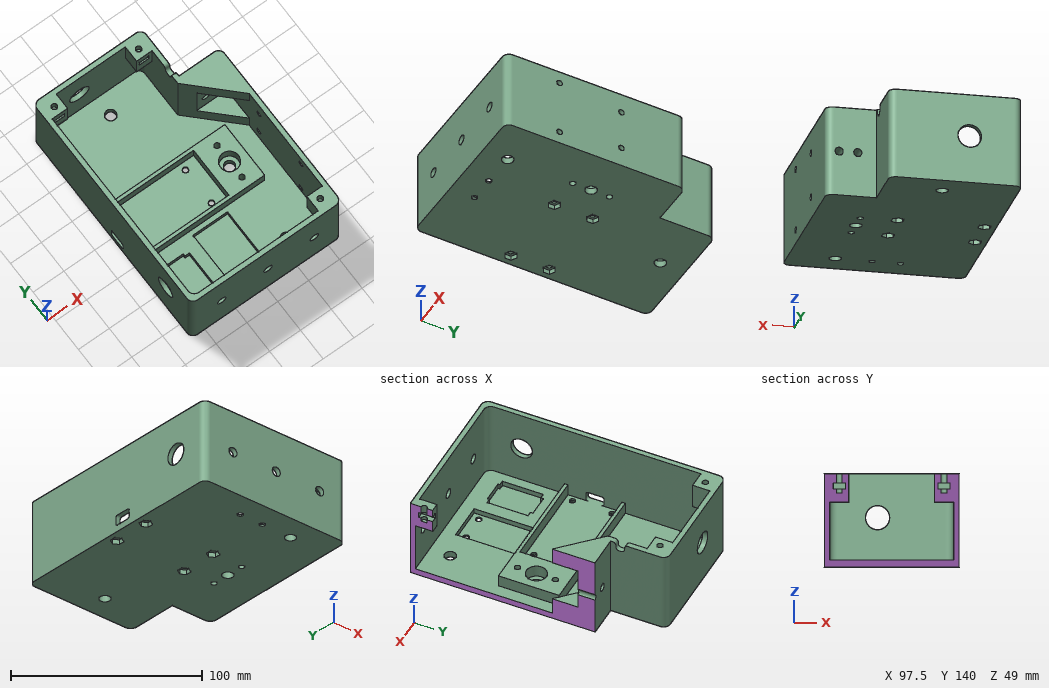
import cadquery as cq
import math

LENGTH_X = 97.5
LENGTH_Y = 140.0
HEIGHT = 49.0
WALL = 3.0
FLOOR = 4.0
CORNER_RADIUS = 4.0
NOTCH_X = 70.75
NOTCH_Y = 107.25
MID_HEIGHT = HEIGHT / 2

SCREW_DIAMETER = 3.3
FLOOR_HOLE_DIAMETER = 6.5

INNER_X = LENGTH_X - WALL
INNER_Y = LENGTH_Y - WALL
INNER_NOTCH_X = NOTCH_X - WALL
INNER_NOTCH_Y = NOTCH_Y - WALL
DIAGONAL_END_Y = INNER_NOTCH_Y - (INNER_X - INNER_NOTCH_X)

POST_SIZE = 10.0
POST_HEIGHT = 15.0
POST_HOLE_DEPTH = 10.0
NUT_SLOT_WIDTH = 6.2
NUT_SLOT_HEIGHT = 3.0
NUT_SLOT_DEPTH = 8.0
NUT_SLOT_Z = 42.6

BLOCK_POCKET_X = 75.0
BLOCK_POCKET_DEPTH = 10.0
BLOCK_POCKET_BOTTOM = 14.0
BLOCK_POCKET_TOP = 39.0
BLOCK_HOLE_DIAMETER = 4.3
BLOCK_HOLE_XS = (80.75, 90.75)

PAD_END_X = 82.75
PAD_Y = 65.5
PAD_WIDTH = 35.25
PAD_TOP = 11.0
PAD_POCKET_END_X = 61.0
PAD_POCKET_WIDTH = 31.25
PAD_POCKET_HOLE_XS = (6.25, 52.75)
PAD_POCKET_HOLE_PITCH = 23.0
NUT_TRAP_WIDTH = 6.2
NUT_TRAP_DEPTH = 2.8
PLUG_X = 72.5
PLUG_Y = 65.0
PLUG_SCREW_PITCH = 22.0
COUNTERBORE_DIAMETER = 11.5

RECESS_DEPTH = 3.0
BOARD_RECESS = (34.1, 10.4, 56.5, 45.0)
BOARD_HOLE_XS = (37.5, 52.75)
BOARD_HOLE_Y = 14.7
SWITCH_RECESS = (8.4, 14.4, 26.8, 38.1)
SWITCH_TAB = (11.4, 13.3, 23.9, 39.6)

FLOOR_HOLES = ((39.5, 125.0), (PLUG_X, PLUG_Y), (PLUG_X, 15.0))

FRONT_HOLE_DIAMETER = 5.4
FRONT_HOLE_XS = (19.75, 49.75, 79.75)
ROUND_PORT_DIAMETER = 12.5
ROUND_PORT_Z = 26.0
BACK_PORT_X = 28.0
LEFT_PORT_Y = 22.9
SLOT_Y = PAD_Y
SLOT_LENGTH = 10.5
SLOT_HEIGHT = 6.0
SLOT_RADIUS = 1.25
RIGHT_WALL_HOLES = ((69.2, 12.3), (32.1, 16.9))

CABLE_Y = 112.75
CABLE_FLAT = 1.0
CABLE_RADIUS = 2.0
CABLE_DEPTH = 5.0


def box(x_min, y_min, z_min, x_max, y_max, z_max):
    """Axis-aligned box between two opposite corners."""
    size = (x_max - x_min, y_max - y_min, z_max - z_min)
    return cq.Workplane("XY").box(*size, centered=False).translate((x_min, y_min, z_min))


def hole_x(y, z, diameter, x_start, length):
    """Cylinder along +X."""
    circle = cq.Workplane("YZ", origin=(x_start, y, z)).circle(diameter / 2)
    return circle.extrude(length)


def hole_y(x, z, diameter, y_start, length):
    """Cylinder along +Y."""
    circle = cq.Workplane("XZ", origin=(x, y_start, z)).circle(diameter / 2)
    return circle.extrude(-length)


def hole_z(x, y, diameter, z_start, length):
    """Cylinder along +Z."""
    return cq.Workplane("XY", origin=(x, y, z_start)).circle(diameter / 2).extrude(length)


def nut_trap(x, y):
    """Hexagonal nut recess in the underside, with two flats facing along X."""
    across_corners = NUT_TRAP_WIDTH / math.cos(math.radians(30))
    hexagon = cq.Workplane("XY").polygon(6, across_corners).extrude(NUT_TRAP_DEPTH)
    return hexagon.rotate((0, 0, 0), (0, 0, 1), 90).translate((x, y, 0))


def make_outer_block():
    """Solid block with the corner notch and rounded outer corners."""
    block = box(0, 0, 0, LENGTH_X, LENGTH_Y, HEIGHT).cut(
        box(NOTCH_X, NOTCH_Y, 0, LENGTH_X, LENGTH_Y, HEIGHT)
    )
    return block.edges("|Z and (<X or >X or >Y)").fillet(CORNER_RADIUS)


def make_cavity():
    """Inner space, with a 45 degree face leading past the notch to the right wall."""
    cavity = (
        cq.Workplane("XY", origin=(0, 0, FLOOR))
        .moveTo(WALL, WALL)
        .lineTo(INNER_X, WALL)
        .lineTo(INNER_X, DIAGONAL_END_Y)
        .lineTo(INNER_NOTCH_X, INNER_NOTCH_Y)
        .lineTo(INNER_NOTCH_X, INNER_Y)
        .lineTo(WALL, INNER_Y)
        .close()
        .extrude(HEIGHT - FLOOR)
    )
    return cavity.edges("|Z and (<X or <Y or >Y)").fillet(CORNER_RADIUS)


def add_lid_post(body, x_min, y_min, outward_y):
    """Corner post with a screw hole from the top and a nut slot facing the cavity in Y."""
    post = box(x_min, y_min, HEIGHT - POST_HEIGHT, x_min + POST_SIZE, y_min + POST_SIZE, HEIGHT)
    body = body.union(post)
    x = x_min + POST_SIZE / 2
    y = y_min + POST_SIZE / 2
    body = body.cut(hole_z(x, y, SCREW_DIAMETER, HEIGHT - POST_HOLE_DEPTH, POST_HOLE_DEPTH))
    face_y = y - outward_y * POST_SIZE / 2
    slot = cq.Workplane("XY").box(NUT_SLOT_WIDTH, NUT_SLOT_DEPTH, NUT_SLOT_HEIGHT)
    slot_y = face_y + outward_y * NUT_SLOT_DEPTH / 2
    return body.cut(slot.translate((x, slot_y, NUT_SLOT_Z)))


def add_lid_posts(body):
    body = add_lid_post(body, WALL, INNER_Y - POST_SIZE, 1)
    body = add_lid_post(body, INNER_NOTCH_X - POST_SIZE, INNER_Y - POST_SIZE, 1)
    return add_lid_post(body, INNER_X - POST_SIZE, WALL, -1)


def cut_block_pocket(body):
    """Pocket in the triangular block and the two holes through its back wall."""
    back_y = NOTCH_Y - BLOCK_POCKET_DEPTH
    body = body.cut(
        box(BLOCK_POCKET_X, DIAGONAL_END_Y, BLOCK_POCKET_BOTTOM, INNER_X, back_y, BLOCK_POCKET_TOP)
    )
    for x in BLOCK_HOLE_XS:
        body = body.cut(hole_y(x, MID_HEIGHT, BLOCK_HOLE_DIAMETER, back_y, BLOCK_POCKET_DEPTH))
    return body


def add_pad(body):
    """Raised pad with its board pocket, screw holes, nut recesses and counterbore."""
    half_pad = PAD_WIDTH / 2
    half_pocket = PAD_POCKET_WIDTH / 2
    body = body.union(box(WALL, PAD_Y - half_pad, FLOOR, PAD_END_X, PAD_Y + half_pad, PAD_TOP))
    body = body.cut(
        box(WALL, PAD_Y - half_pocket, FLOOR, PAD_POCKET_END_X, PAD_Y + half_pocket, PAD_TOP)
    )
    for side in (-1, 1):
        for x in PAD_POCKET_HOLE_XS:
            y = PAD_Y + side * PAD_POCKET_HOLE_PITCH / 2
            body = body.cut(hole_z(x, y, SCREW_DIAMETER, 0, FLOOR))
            body = body.cut(nut_trap(x, y))
        y = PLUG_Y + side * PLUG_SCREW_PITCH / 2
        body = body.cut(hole_z(PLUG_X, y, SCREW_DIAMETER, 0, PAD_TOP))
    return body.cut(hole_z(PLUG_X, PLUG_Y, COUNTERBORE_DIAMETER, FLOOR, PAD_TOP - FLOOR))


def cut_floor(body):
    """Recesses and holes in the floor."""
    for x_min, y_min, x_max, y_max in (BOARD_RECESS, SWITCH_RECESS, SWITCH_TAB):
        body = body.cut(box(x_min, y_min, FLOOR - RECESS_DEPTH, x_max, y_max, FLOOR))
    for x in BOARD_HOLE_XS:
        body = body.cut(hole_z(x, BOARD_HOLE_Y, SCREW_DIAMETER, 0, FLOOR))
    for x, y in FLOOR_HOLES:
        body = body.cut(hole_z(x, y, FLOOR_HOLE_DIAMETER, 0, FLOOR))
    return body


def cut_wall_openings(body):
    """Round holes and the connector slot through the outer walls."""
    for x in FRONT_HOLE_XS:
        body = body.cut(hole_y(x, MID_HEIGHT, FRONT_HOLE_DIAMETER, 0, WALL))
    body = body.cut(hole_y(BACK_PORT_X, ROUND_PORT_Z, ROUND_PORT_DIAMETER, INNER_Y, WALL))
    body = body.cut(hole_x(LEFT_PORT_Y, ROUND_PORT_Z, ROUND_PORT_DIAMETER, 0, WALL))
    slot = cq.Workplane("XY").box(WALL, SLOT_LENGTH, SLOT_HEIGHT).edges("|X").fillet(SLOT_RADIUS)
    body = body.cut(slot.translate((WALL / 2, SLOT_Y, FLOOR + SLOT_HEIGHT / 2)))
    for y, offset in RIGHT_WALL_HOLES:
        for side in (-1, 1):
            z = MID_HEIGHT + side * offset
            body = body.cut(hole_x(y, z, SCREW_DIAMETER, INNER_X, WALL))
    return body


def cut_cable_notch(body):
    """U-shaped notch with rounded lips and rounded bottom corners."""
    r = CABLE_RADIUS
    half_flat = CABLE_FLAT / 2
    half_neck = half_flat + r
    half_top = half_neck + r
    bottom = HEIGHT - CABLE_DEPTH
    profile = (
        cq.Workplane("YZ", origin=(INNER_NOTCH_X, CABLE_Y, 0))
        .moveTo(-half_top, HEIGHT)
        .radiusArc((-half_neck, HEIGHT - r), r)
        .lineTo(-half_neck, bottom + r)
        .radiusArc((-half_flat, bottom), -r)
        .lineTo(half_flat, bottom)
        .radiusArc((half_neck, bottom + r), -r)
        .lineTo(half_neck, HEIGHT - r)
        .radiusArc((half_top, HEIGHT), r)
        .close()
    )
    return body.cut(profile.extrude(WALL))


body = make_outer_block().cut(make_cavity())
body = add_lid_posts(body)
body = cut_block_pocket(body)
body = add_pad(body)
body = cut_floor(body)
body = cut_wall_openings(body)
result = cut_cable_notch(body)